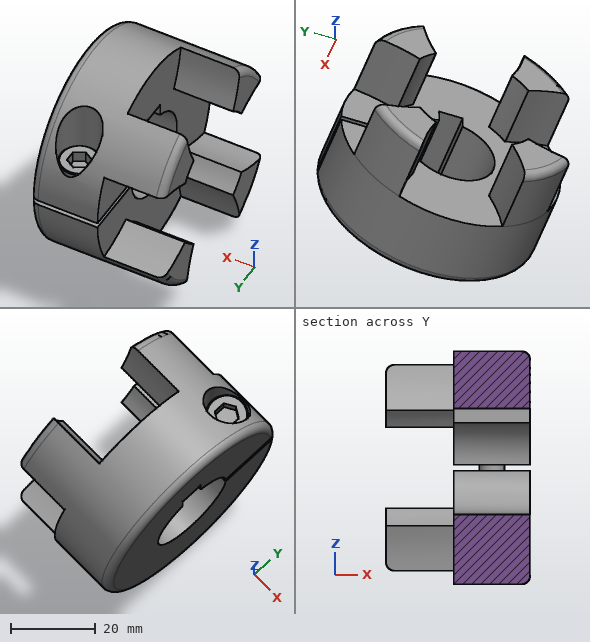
import cadquery as cq
import math

OUTER_DIAMETER = 55.0
OUTER_RADIUS = OUTER_DIAMETER / 2
TOTAL_LENGTH = 34.0
JAW_LENGTH = 15.95
HUB_LENGTH = TOTAL_LENGTH - JAW_LENGTH
EDGE_FILLET = 2.0

BORE_DIAMETER = 22.0
KEYWAY_WIDTH = 5.9
KEYWAY_TOP = 13.9

JAW_COUNT = 4
JAW_FIRST_ANGLE = 45.0
JAW_INNER_RADIUS = 16.6
JAW_OUTER_HALF_ANGLE = 17.0
JAW_INNER_HALF_ANGLE = 10.0
JAW_FLANK_RADIUS = 35.75

SLIT_WIDTH = 1.3

SCREW_X = JAW_LENGTH + HUB_LENGTH / 2
SCREW_Y = 20.0
SCREW_DIAMETER = 6.0
HEAD_DIAMETER = 10.0
HEAD_HEIGHT = SCREW_DIAMETER
HEAD_CHAMFER = 0.3
HEAD_SEAT_Z = 5.0
HEAD_TOP_Z = HEAD_SEAT_Z + HEAD_HEIGHT
SOCKET_SIDES = 6
SOCKET_ACROSS_FLATS = 5.1
SOCKET_TURN = 90.0
SOCKET_DEPTH = HEAD_HEIGHT / 2
COUNTERBORE_DIAMETER = 11.1


def polar_point(radius, angle):
    """Point in the YZ plane at an angle in degrees from +Y."""
    return (radius * math.cos(math.radians(angle)), radius * math.sin(math.radians(angle)))


def make_hub():
    disc = cq.Workplane("YZ", origin=(JAW_LENGTH, 0, 0)).circle(OUTER_RADIUS).extrude(HUB_LENGTH)
    return disc.faces(">X").edges().fillet(EDGE_FILLET)


def make_jaw_blank():
    """Cylinder as long as the jaws, rounded at its -X end, that gives the jaws their outer surface."""
    blank = cq.Workplane("YZ").circle(OUTER_RADIUS).extrude(JAW_LENGTH)
    return blank.faces("<X").edges().fillet(EDGE_FILLET)


def make_jaw_prism(angle):
    """Jaw cross-section centred on an angle, extruded over the jaw length."""
    return (
        cq.Workplane("YZ")
        .moveTo(*polar_point(JAW_INNER_RADIUS, angle - JAW_INNER_HALF_ANGLE))
        .radiusArc(polar_point(OUTER_RADIUS, angle - JAW_OUTER_HALF_ANGLE), JAW_FLANK_RADIUS)
        .threePointArc(
            polar_point(OUTER_RADIUS, angle),
            polar_point(OUTER_RADIUS, angle + JAW_OUTER_HALF_ANGLE),
        )
        .radiusArc(polar_point(JAW_INNER_RADIUS, angle + JAW_INNER_HALF_ANGLE), JAW_FLANK_RADIUS)
        .threePointArc(
            polar_point(JAW_INNER_RADIUS, angle),
            polar_point(JAW_INNER_RADIUS, angle - JAW_INNER_HALF_ANGLE),
        )
        .close()
        .extrude(JAW_LENGTH)
    )


def make_bore_and_keyway():
    bore = cq.Workplane("YZ").circle(BORE_DIAMETER / 2).extrude(TOTAL_LENGTH)
    keyway = (
        cq.Workplane("YZ")
        .center(0, KEYWAY_TOP / 2)
        .rect(KEYWAY_WIDTH, KEYWAY_TOP)
        .extrude(TOTAL_LENGTH)
    )
    return bore.union(keyway)


def make_slit():
    """Radial slot from the X axis out through the +Y side."""
    return (
        cq.Workplane("YZ")
        .center(OUTER_RADIUS / 2, 0)
        .rect(OUTER_RADIUS, SLIT_WIDTH)
        .extrude(TOTAL_LENGTH)
    )


def screw_plane(z):
    """Workplane square to the screw axis at a height."""
    return cq.Workplane("XY", origin=(SCREW_X, SCREW_Y, z))


def make_counterbore():
    return screw_plane(HEAD_SEAT_Z).circle(COUNTERBORE_DIAMETER / 2).extrude(OUTER_RADIUS - HEAD_SEAT_Z)


def make_screw():
    """Screw head with its hex socket, and the length of shank that bridges the slit."""
    head = screw_plane(HEAD_SEAT_Z).circle(HEAD_DIAMETER / 2).extrude(HEAD_HEIGHT)
    head = head.faces(">Z").edges().chamfer(HEAD_CHAMFER)
    across_corners = SOCKET_ACROSS_FLATS / math.cos(math.pi / SOCKET_SIDES)
    socket = (
        screw_plane(HEAD_TOP_Z - SOCKET_DEPTH)
        .transformed(rotate=(0, 0, SOCKET_TURN))
        .polygon(SOCKET_SIDES, across_corners)
        .extrude(SOCKET_DEPTH)
    )
    shank = screw_plane(-SLIT_WIDTH / 2).circle(SCREW_DIAMETER / 2).extrude(SLIT_WIDTH)
    return head.cut(socket).union(shank)


result = make_hub()
jaw_blank = make_jaw_blank()
for index in range(JAW_COUNT):
    jaw_angle = JAW_FIRST_ANGLE + index * 360 / JAW_COUNT
    result = result.union(make_jaw_prism(jaw_angle).intersect(jaw_blank))
result = result.cut(make_bore_and_keyway()).cut(make_slit()).cut(make_counterbore())
result = result.union(make_screw())